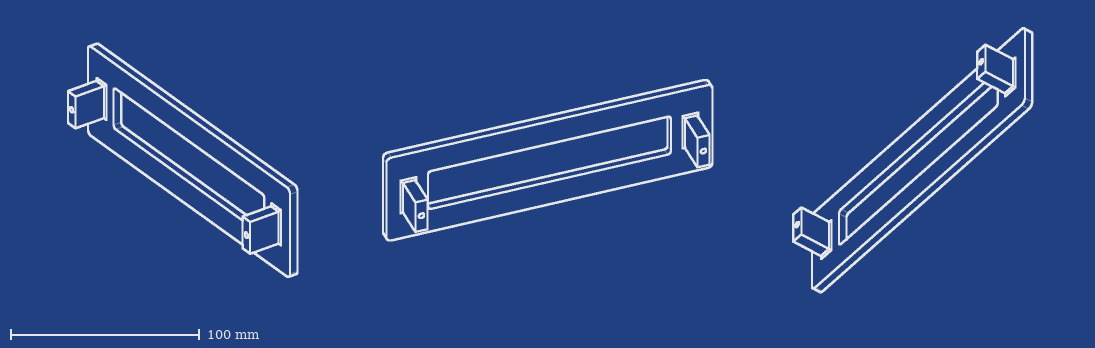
import cadquery as cq
import math

plate_length = 185.0
plate_height = 55.0
plate_thickness = 5.0
plate_corner_radius = 3.0

opening_length = 137.6
opening_height = 25.0
opening_corner_radius = 1.8

total_depth = 24.5
post_length = total_depth - plate_thickness
post_width = 7.0
post_height = 19.6
post_offset = 80.0
post_root_chamfer = 1.0

hole_diameter = 3.0
hole_depth = 10.0
drill_point_angle = 118.0


def rounded_block(length, height, thickness, corner_radius):
    """Block from Y = 0 to Y = thickness with its Y edges rounded."""
    block = cq.Workplane("XZ").rect(length, height).extrude(-thickness)
    return block.edges("|Y").fillet(corner_radius)


def make_hole(x):
    """Drilled hole revolved about the post axis, opening at the post's free end."""
    radius = hole_diameter / 2
    tip_length = radius / math.tan(math.radians(drill_point_angle / 2))
    bottom_y = hole_depth - post_length
    profile = (
        cq.Workplane("XY")
        .moveTo(x, -post_length)
        .lineTo(x + radius, -post_length)
        .lineTo(x + radius, bottom_y)
        .lineTo(x, bottom_y + tip_length)
        .close()
    )
    return profile.revolve(360, (x, 0, 0), (x, 1, 0))


def make_post(x):
    """Rectangular post with a sloped skirt at its root and a hole in its end."""
    base = cq.Workplane("XZ").center(x, 0)
    post = base.rect(post_width, post_height).extrude(post_length)
    skirt = (
        base.rect(post_width + 2 * post_root_chamfer, post_height + 2 * post_root_chamfer)
        .workplane(offset=post_root_chamfer)
        .rect(post_width, post_height)
        .loft(ruled=True)
    )
    return post.union(skirt).cut(make_hole(x))


plate = rounded_block(plate_length, plate_height, plate_thickness, plate_corner_radius)
opening = rounded_block(opening_length, opening_height, plate_thickness, opening_corner_radius)

result = plate.cut(opening)
for post_x in (-post_offset, post_offset):
    result = result.union(make_post(post_x))